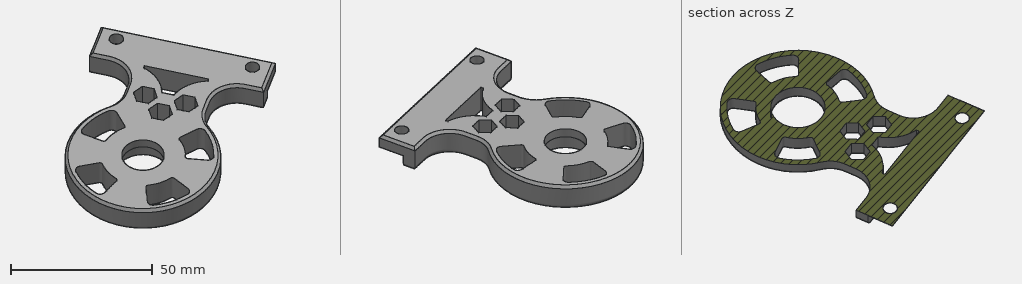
import cadquery as cq
import math

overall_length = 85.0
thickness = 10.0
top_chamfer = 1.0
bottom_fillet = 2.0

disk_radius = 55.0 / 2
bar_width = 64.0
bar_depth = 15.0
neck_width = 30.0
neck_radius = 10.0

ledge_depth = 10.0
ledge_height = 5.0

mount_hole_diameter = 5.0
mount_hole_spacing = 50.0
mount_hole_inset = 5.0

bore_diameter = 15.0
seat_diameter = 19.0
bearing_height = 6.0
seat_mouth_chamfer = 0.5
seat_depth = bearing_height + seat_mouth_chamfer

window_outer_radius = 25.0
window_inner_radius = 15.0
window_span = 40.0
window_pitch = 80.0
window_count = 4
window_outer_fillet = 2.0
window_inner_fillet = 1.0

hex_corner_diameter = 8.7
hex_pair_spacing = 15.0
hex_pair_y = 28.8
hex_single_y = 22.3

funnel_depth = 11.0
funnel_lip = 1.0
funnel_side_radius = 15.3

bar_rear_y = overall_length - disk_radius
bar_front_y = bar_rear_y - bar_depth
all_through = 2 * thickness


def polar(radius, angle):
    """Point at a radius and an angle in degrees about the disk centre."""
    turn = math.radians(angle)
    return (radius * math.cos(turn), radius * math.sin(turn))


def make_body():
    """Plate with the outer outline, chamfered on top and rounded underneath."""
    half_bar = bar_width / 2
    half_neck = neck_width / 2
    blend_x = half_neck + neck_radius
    center_distance = disk_radius + neck_radius
    blend_y = math.sqrt(center_distance**2 - blend_x**2)
    touch_x = blend_x * disk_radius / center_distance
    touch_y = blend_y * disk_radius / center_distance
    outline = (
        cq.Workplane("XY")
        .moveTo(-half_bar, bar_rear_y)
        .lineTo(half_bar, bar_rear_y)
        .lineTo(half_bar, bar_front_y)
        .lineTo(blend_x, bar_front_y)
        .radiusArc((half_neck, bar_front_y - neck_radius), -neck_radius)
        .lineTo(half_neck, blend_y)
        .radiusArc((touch_x, touch_y), -neck_radius)
        .threePointArc((0, -disk_radius), (-touch_x, touch_y))
        .radiusArc((-half_neck, blend_y), -neck_radius)
        .lineTo(-half_neck, bar_front_y - neck_radius)
        .radiusArc((-blend_x, bar_front_y), -neck_radius)
        .lineTo(-half_bar, bar_front_y)
        .close()
    )
    plate = outline.extrude(thickness)
    plate = plate.faces(">Z").edges().chamfer(top_chamfer)
    return plate.faces("<Z").edges().fillet(bottom_fillet)


def make_ledge():
    """Block removed below the rear of the bar."""
    return (
        cq.Workplane("XY")
        .box(bar_width, ledge_depth, thickness - ledge_height, centered=(True, False, False))
        .translate((0, bar_rear_y - ledge_depth, 0))
    )


def make_mount_holes():
    half_spacing = mount_hole_spacing / 2
    hole_y = bar_rear_y - mount_hole_inset
    return (
        cq.Workplane("XY")
        .pushPoints([(-half_spacing, hole_y), (half_spacing, hole_y)])
        .circle(mount_hole_diameter / 2)
        .extrude(all_through)
    )


def make_bearing_seat():
    bore = cq.Workplane("XY").circle(bore_diameter / 2).extrude(all_through)
    seat = cq.Workplane("XY").circle(seat_diameter / 2).extrude(seat_depth)
    mouth = (
        cq.Workplane("XY")
        .circle(seat_diameter / 2 + seat_mouth_chamfer)
        .workplane(offset=seat_mouth_chamfer)
        .circle(seat_diameter / 2)
        .loft()
    )
    return bore.union(seat).union(mouth)


def make_window(mid_angle):
    """Ring sector with rounded corners, centred on the given angle."""
    start = -window_span / 2
    end = window_span / 2
    sector = (
        cq.Workplane("XY")
        .moveTo(*polar(window_inner_radius, start))
        .lineTo(*polar(window_outer_radius, start))
        .threePointArc((window_outer_radius, 0), polar(window_outer_radius, end))
        .lineTo(*polar(window_inner_radius, end))
        .threePointArc((window_inner_radius, 0), polar(window_inner_radius, start))
        .close()
        .extrude(all_through)
    )
    middle_x = (window_inner_radius + window_outer_radius) / 2
    outer_corners = sector.edges("|Z").filter(lambda edge: edge.Center().x > middle_x)
    sector = outer_corners.fillet(window_outer_fillet)
    inner_corners = sector.edges("|Z").filter(lambda edge: edge.Center().x < middle_x)
    sector = inner_corners.fillet(window_inner_fillet)
    return sector.rotate((0, 0, 0), (0, 0, 1), mid_angle)


def make_hexagons():
    half_spacing = hex_pair_spacing / 2
    centers = [(-half_spacing, hex_pair_y), (half_spacing, hex_pair_y), (0, hex_single_y)]
    return cq.Workplane("XY").pushPoints(centers).polygon(6, hex_corner_diameter).extrude(all_through)


def make_funnel():
    """Opening as wide as the hexagon pair, narrowing to one hexagon side."""
    half_top = (hex_pair_spacing + hex_corner_diameter) / 2
    half_bottom = hex_corner_diameter / 4
    lip_y = bar_front_y - funnel_lip
    bottom_y = bar_front_y - funnel_depth
    return (
        cq.Workplane("XY")
        .moveTo(-half_top, bar_front_y)
        .lineTo(half_top, bar_front_y)
        .lineTo(half_top, lip_y)
        .radiusArc((half_bottom, bottom_y), -funnel_side_radius)
        .lineTo(-half_bottom, bottom_y)
        .radiusArc((-half_top, lip_y), -funnel_side_radius)
        .close()
        .extrude(all_through)
    )


result = make_body()
result = result.cut(make_ledge())
result = result.cut(make_mount_holes())
result = result.cut(make_bearing_seat())
result = result.cut(make_hexagons())
result = result.cut(make_funnel())

first_window_angle = 270 - window_pitch * (window_count - 1) / 2
for index in range(window_count):
    result = result.cut(make_window(first_window_angle + index * window_pitch))